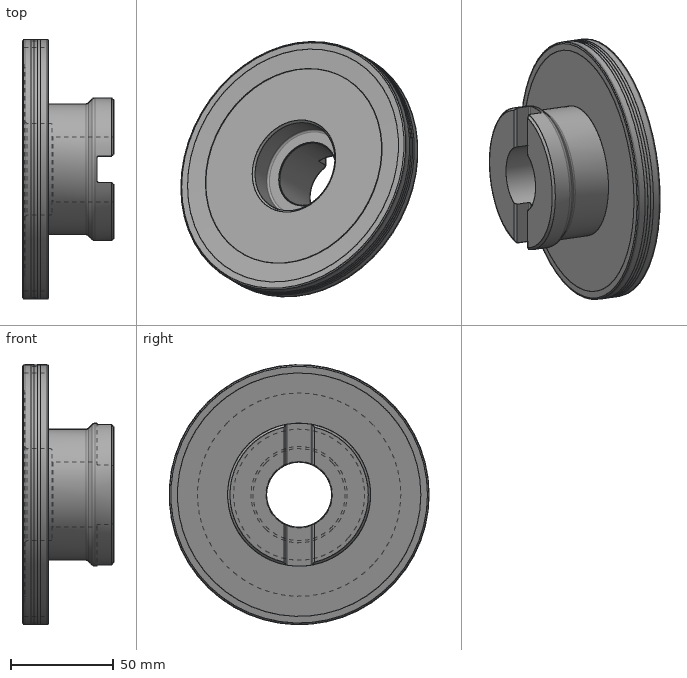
import cadquery as cq
import math

LENGTH = 44.5

FLANGE_WIDTH = 12.7
RIM_RADIUS = 63.5
RIM_FACE_RADIUS = 125.3 / 2
RIM_INNER_RADIUS = 59.4
EDGE_BEVEL_WIDTH = 0.4
EDGE_BEVEL_RADIUS = 63.4
EDGE_RELIEF_WIDTH = 1.0

BAND_WIDTH = 4.6
BAND_GROOVE_WIDTH = 1.5
BAND_GROOVE_DEPTH = 0.06
BAND_SEAT_RADIUS = RIM_FACE_RADIUS

DISH_DEPTH = 0.6
RECESS_RADIUS = 49.7
RECESS_STEP = 0.4
FRONT_FACE = DISH_DEPTH + RECESS_STEP
DISH_SLOPE = DISH_DEPTH / (RIM_FACE_RADIUS - RECESS_RADIUS)
DISH_AT_RIM_JOINT = DISH_SLOPE * (RIM_FACE_RADIUS - RIM_INNER_RADIUS)

BARREL_RADIUS = 64.0 / 2
COLLAR_RADIUS = 69.8 / 2
SHOULDER_START = 30.9
BARREL_BLEND = 1.7
COLLAR_BLEND = 2.2
COLLAR_CHAMFER = 1.1

BORE_RADIUS = 31.8 / 2
BORE_CHAMFER = 0.4
COUNTERBORE_RADIUS = 45.0 / 2
COUNTERBORE_FLOOR = 14.4
COUNTERBORE_CHAMFER = 1.0
COUNTERBORE_FILLET = 1.0

SLOT_WIDTH = 12.7
SLOT_DEPTH = 8.1
SLOT_FILLET = 0.6


def revolve(profile):
    """Turn a closed (x, radius) profile around the X axis."""
    return profile.close().revolve(360, (0, 0, 0), (1, 0, 0))


def make_hub_blank():
    """Flange disc, barrel and collar, with a 45 degree blended shoulder."""
    diagonal = math.sqrt(0.5)
    half_angle = math.radians(22.5)
    barrel_mid = (
        SHOULDER_START + BARREL_BLEND * math.sin(half_angle),
        BARREL_RADIUS + BARREL_BLEND * (1 - math.cos(half_angle)),
    )
    cone_start = (
        SHOULDER_START + BARREL_BLEND * diagonal,
        BARREL_RADIUS + BARREL_BLEND * (1 - diagonal),
    )
    cone_end_radius = COLLAR_RADIUS - COLLAR_BLEND * (1 - diagonal)
    cone_end = (cone_start[0] + cone_end_radius - cone_start[1], cone_end_radius)
    collar_start = cone_end[0] + COLLAR_BLEND * diagonal
    collar_mid = (
        collar_start - COLLAR_BLEND * math.sin(half_angle),
        COLLAR_RADIUS - COLLAR_BLEND * (1 - math.cos(half_angle)),
    )
    return revolve(
        cq.Workplane("XY")
        .moveTo(FRONT_FACE, 0)
        .lineTo(FRONT_FACE, RECESS_RADIUS)
        .lineTo(DISH_DEPTH, RECESS_RADIUS)
        .lineTo(DISH_AT_RIM_JOINT, RIM_INNER_RADIUS)
        .lineTo(FLANGE_WIDTH, RIM_INNER_RADIUS)
        .lineTo(FLANGE_WIDTH, BARREL_RADIUS)
        .lineTo(SHOULDER_START, BARREL_RADIUS)
        .threePointArc(barrel_mid, cone_start)
        .lineTo(*cone_end)
        .threePointArc(collar_mid, (collar_start, COLLAR_RADIUS))
        .lineTo(LENGTH - COLLAR_CHAMFER, COLLAR_RADIUS)
        .lineTo(LENGTH, COLLAR_RADIUS - COLLAR_CHAMFER)
        .lineTo(LENGTH, 0)
    )


def make_bore():
    """Through bore and front counterbore with a filleted floor corner."""
    fillet_inset = COUNTERBORE_FILLET * (1 - math.sqrt(0.5))
    return revolve(
        cq.Workplane("XY")
        .moveTo(FRONT_FACE, 0)
        .lineTo(FRONT_FACE, COUNTERBORE_RADIUS + COUNTERBORE_CHAMFER)
        .lineTo(FRONT_FACE + COUNTERBORE_CHAMFER, COUNTERBORE_RADIUS)
        .lineTo(COUNTERBORE_FLOOR - COUNTERBORE_FILLET, COUNTERBORE_RADIUS)
        .threePointArc(
            (COUNTERBORE_FLOOR - fillet_inset, COUNTERBORE_RADIUS - fillet_inset),
            (COUNTERBORE_FLOOR, COUNTERBORE_RADIUS - COUNTERBORE_FILLET),
        )
        .lineTo(COUNTERBORE_FLOOR, BORE_RADIUS + BORE_CHAMFER)
        .lineTo(COUNTERBORE_FLOOR + BORE_CHAMFER, BORE_RADIUS)
        .lineTo(LENGTH, BORE_RADIUS)
        .lineTo(LENGTH, 0)
    )


def make_slot():
    """Slot along Z with filleted floor corners and a chamfered mouth."""
    floor = LENGTH - SLOT_DEPTH
    half_width = SLOT_WIDTH / 2
    slot = (
        cq.Workplane("XY")
        .box(SLOT_DEPTH, SLOT_WIDTH, 2 * COLLAR_RADIUS)
        .translate((floor + SLOT_DEPTH / 2, 0, 0))
        .edges("<X and |Z")
        .fillet(SLOT_FILLET)
    )
    mouth = (
        cq.Workplane("XY")
        .polyline([
            (LENGTH - COLLAR_CHAMFER, -half_width),
            (LENGTH, -half_width - COLLAR_CHAMFER),
            (LENGTH, half_width + COLLAR_CHAMFER),
            (LENGTH - COLLAR_CHAMFER, half_width),
        ])
        .close()
        .extrude(COLLAR_RADIUS, both=True)
    )
    return slot.union(mouth)


def make_hub():
    return make_hub_blank().cut(make_bore()).cut(make_slot())


def make_band_blank():
    """Plain ring that fills the seat in the rim."""
    start = (FLANGE_WIDTH - BAND_WIDTH) / 2
    end = start + BAND_WIDTH
    return revolve(
        cq.Workplane("XY")
        .moveTo(start, BAND_SEAT_RADIUS)
        .lineTo(start, RIM_RADIUS)
        .lineTo(end, RIM_RADIUS)
        .lineTo(end, BAND_SEAT_RADIUS)
    )


def make_band():
    """Rim band with a shallow groove around its middle."""
    start = (FLANGE_WIDTH - BAND_GROOVE_WIDTH) / 2
    end = start + BAND_GROOVE_WIDTH
    groove = revolve(
        cq.Workplane("XY")
        .moveTo(start, RIM_RADIUS - BAND_GROOVE_DEPTH)
        .lineTo(start, RIM_RADIUS)
        .lineTo(end, RIM_RADIUS)
        .lineTo(end, RIM_RADIUS - BAND_GROOVE_DEPTH)
    )
    return make_band_blank().cut(groove)


def make_rim():
    """Outer ring with two-step edges and a seat for the band."""
    ring = revolve(
        cq.Workplane("XY")
        .moveTo(DISH_AT_RIM_JOINT, RIM_INNER_RADIUS)
        .lineTo(0, RIM_FACE_RADIUS)
        .lineTo(EDGE_BEVEL_WIDTH, EDGE_BEVEL_RADIUS)
        .lineTo(EDGE_RELIEF_WIDTH, RIM_RADIUS)
        .lineTo(FLANGE_WIDTH - EDGE_RELIEF_WIDTH, RIM_RADIUS)
        .lineTo(FLANGE_WIDTH - EDGE_BEVEL_WIDTH, EDGE_BEVEL_RADIUS)
        .lineTo(FLANGE_WIDTH, RIM_FACE_RADIUS)
        .lineTo(FLANGE_WIDTH, RIM_INNER_RADIUS)
    )
    return ring.cut(make_band_blank())


hub = make_hub()
rim = make_rim()
band = make_band()

result = cq.Compound.makeCompound([hub.val(), rim.val(), band.val()])